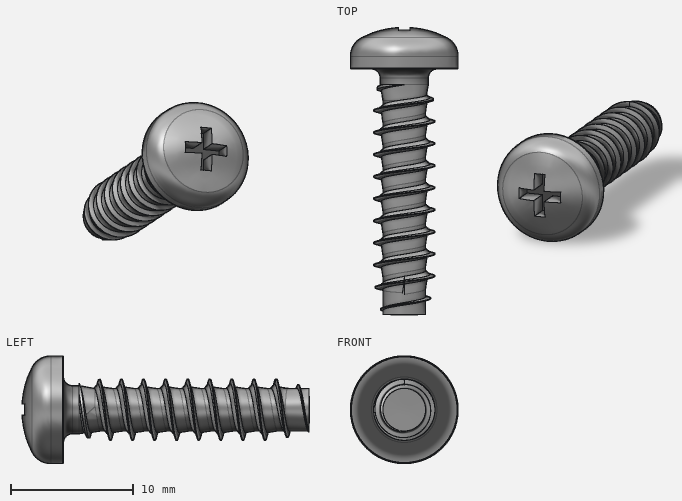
import cadquery as cq
import math


head_radius = 4.4
head_height = 3.4
rim_height = 1.05
dome_radius = 7.5
rim_chamfer = 0.09

recess_slot_width = 0.9
recess_span = 3.6
recess_depth = 2.0

screw_length = 20.0
shank_radius = 1.97
neck_fillet = 0.7
shank_length = 1.26
core_radius = 1.74
neck_cone_length = 1.3
tip_bulge = 0.04

pitch = 1.8
crest_radius = 2.5
crest_half_width = 0.03
thread_start_depth = 1.11
full_turns = 9
run_out_turns = 2
run_out_sink = 0.9
start_crest_radius = 2.16
run_in_end = 3.0
flank_break_radius = 2.1
flank_break_offset = 0.13
upper_flank_width = 0.47
lower_flank_width = 0.20
root_radius_below_crest = 1.87
root_ramp_end = 1.3
thread_embed = 0.04

cutter_radius = 2.6
cutter_margin = 1.0

CYLINDRICAL_HELIX = 360

recess_corner_radius = recess_slot_width / 2 * math.sqrt(2)
apex_height = head_height + dome_radius - math.sqrt(dome_radius**2 - recess_corner_radius**2)
dome_center = apex_height - dome_radius


def revolve_profile(profile):
    return profile.close().revolve(360, (0, 0, 0), (0, 1, 0))


def make_head():
    """Domed head whose shoulder arc is tangent to both the dome and the rim."""
    rise = rim_height - dome_center
    shoulder_radius = (dome_radius**2 - head_radius**2 - rise**2) / (2 * (dome_radius - head_radius))
    shoulder_center = head_radius - shoulder_radius
    join_angle = math.atan2(rise, shoulder_center)
    mid_angle = join_angle / 2
    dome_mid_angle = (join_angle + math.pi / 2) / 2

    def on_dome(angle):
        return (dome_radius * math.cos(angle), dome_center + dome_radius * math.sin(angle))

    shoulder_mid = (
        shoulder_center + shoulder_radius * math.cos(mid_angle),
        rim_height + shoulder_radius * math.sin(mid_angle),
    )
    profile = (
        cq.Workplane("YZ")
        .moveTo(0, 0)
        .lineTo(head_radius - rim_chamfer, 0)
        .lineTo(head_radius, rim_chamfer)
        .lineTo(head_radius, rim_height)
        .threePointArc(shoulder_mid, on_dome(join_angle))
        .threePointArc(on_dome(dome_mid_angle), (0, apex_height))
    )
    return revolve_profile(profile)


def make_recess():
    """Blind cross with straight walls."""
    floor = cq.Workplane("XY").workplane(offset=apex_height - recess_depth)
    wing_x = floor.rect(recess_span, recess_slot_width).extrude(recess_depth)
    wing_y = floor.rect(recess_slot_width, recess_span).extrude(recess_depth)
    return wing_x.union(wing_y)


def make_neck():
    """Smooth shank with its fillet under the head and a cone down to the thread core."""
    fillet_start = shank_radius + neck_fillet
    fillet_mid = (
        fillet_start - neck_fillet * math.sin(math.pi / 4),
        -neck_fillet * (1 - math.cos(math.pi / 4)),
    )
    profile = (
        cq.Workplane("YZ")
        .moveTo(0, 0)
        .lineTo(fillet_start, 0)
        .threePointArc(fillet_mid, (shank_radius, -neck_fillet))
        .lineTo(shank_radius, -shank_length)
        .lineTo(core_radius, -shank_length - neck_cone_length)
        .lineTo(0, -shank_length - neck_cone_length)
    )
    return revolve_profile(profile)


def sweep_thread(bottom_z, turns, bottom_sink):
    """Ridge with a tapered root trailing below its crest, swept up a right-hand helix.

    The helix starts on the +X side at bottom_z, with its section moved inward by bottom_sink,
    and reaches its full radius at the top.
    """
    inner_radius = core_radius - thread_embed
    section = [
        (inner_radius, upper_flank_width),
        (flank_break_radius, flank_break_offset),
        (crest_radius, crest_half_width),
        (crest_radius, -crest_half_width),
        (flank_break_radius, -flank_break_offset),
        (root_radius_below_crest, -lower_flank_width),
        (inner_radius, -root_ramp_end),
    ]
    cone_angle = math.atan2(bottom_sink, turns * pitch)
    slant_pitch = pitch / math.cos(cone_angle)
    helix_angle = math.degrees(cone_angle) if bottom_sink > 0 else CYLINDRICAL_HELIX
    helix = cq.Wire.makeHelix(
        slant_pitch,
        turns * slant_pitch,
        core_radius - bottom_sink,
        cq.Vector(0, 0, bottom_z),
        angle=helix_angle,
    )
    return (
        cq.Workplane("XZ", origin=(-bottom_sink, 0, bottom_z))
        .polyline(section)
        .close()
        .sweep(cq.Workplane(helix), isFrenet=True)
    )


def make_thread():
    """Full-height thread, and a run-out near the tip that sinks into the core."""
    full_thread_end = -thread_start_depth - full_turns * pitch
    run_out_length = run_out_turns * pitch
    full_thread = sweep_thread(full_thread_end, full_turns, 0)
    run_out = sweep_thread(full_thread_end - run_out_length, run_out_turns, run_out_sink)
    return [part.rotate((0, 0, 0), (0, 0, 1), -90) for part in (full_thread, run_out)]


def make_run_in_cutter():
    """Everything above the thread start, with a cone that lets the crest grow to full height."""
    slope = (crest_radius - start_crest_radius) / (run_in_end - shank_length)
    cone_end = run_in_end + (cutter_radius - crest_radius) / slope
    profile = (
        cq.Workplane("YZ")
        .moveTo(0, cutter_margin)
        .lineTo(cutter_radius, cutter_margin)
        .lineTo(cutter_radius, -cone_end)
        .lineTo(start_crest_radius, -shank_length)
        .lineTo(0, -shank_length)
    )
    return revolve_profile(profile)


def make_tip_cutter():
    """Everything beyond the slightly conical end face."""
    cutter_end = screw_length + run_out_turns * pitch
    profile = (
        cq.Workplane("YZ")
        .moveTo(0, -screw_length - tip_bulge)
        .lineTo(core_radius, -screw_length)
        .lineTo(cutter_radius, -screw_length)
        .lineTo(cutter_radius, -cutter_end)
        .lineTo(0, -cutter_end)
    )
    return revolve_profile(profile)


def make_threaded_rod():
    core_profile = (
        cq.Workplane("YZ")
        .lineTo(core_radius, 0)
        .lineTo(core_radius, -screw_length - cutter_margin)
        .lineTo(0, -screw_length - cutter_margin)
    )
    rod = revolve_profile(core_profile)
    for ridge in make_thread():
        rod = rod.union(ridge)
    return rod.cut(make_run_in_cutter()).cut(make_tip_cutter())


screw = make_threaded_rod().union(make_neck()).union(make_head()).cut(make_recess())
result = screw.rotate((0, 0, 0), (1, 0, 0), -90)